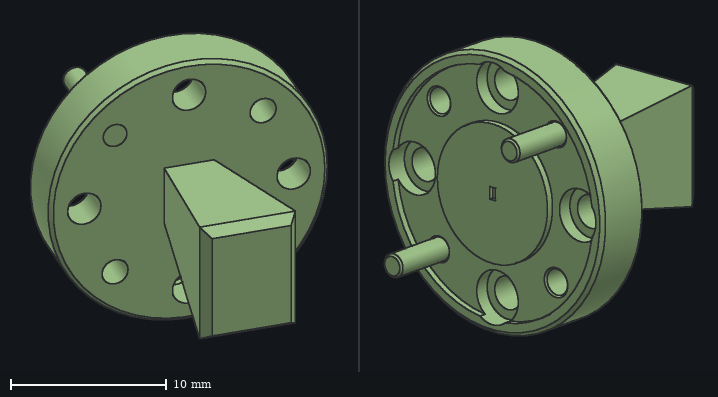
import cadquery as cq
import math

total_length = 20.57
flange_radius = 9.52
flange_thickness = 4.07
flange_chamfer = 0.27

recess_radius = 8.64
boss_radius = 4.75
recess_depth = 0.5

pitch_radius = 7.14
bolt_hole_radius = 1.13
counterbore_radius = 1.79
counterbore_depth = 1.5
bolt_angles = [0, 90, 180, 270]

dowel_hole_radius = 0.88
dowel_chamfer = 0.12
dowel_hole_angles = [45, 225]

pin_radius = 0.8
pin_projection = 4.05
pin_chamfer = 0.15
pin_hole_chamfer = 0.1
pin_angles = [135, 315]

slot_width = 0.47
slot_height = 0.85
slot_depth = 0.3

horn_root_width, horn_root_height = 3.41, 4.03
horn_flare_width, horn_flare_height = 6.55, 8.27
horn_end_width, horn_end_height = 5.39, 7.2
horn_bevel_length = 0.8
horn_length = total_length - pin_projection - flange_thickness
horn_flare_length = horn_length - horn_bevel_length


def pitch_point(angle):
    """Y, Z position on the pitch circle, with the angle measured from +Y toward +Z."""
    a = math.radians(angle)
    return pitch_radius * math.cos(a), pitch_radius * math.sin(a)


def cylinder(radius, start, length, center=(0, 0)):
    """Cylinder along +X, beginning at X = start, centred at the given Y, Z."""
    return cq.Workplane("YZ", origin=(start, 0, 0)).center(*center).circle(radius).extrude(length)


def tapered_block(start, length, start_size, end_size):
    """Four-sided frustum along +X between two centred rectangles."""
    return (
        cq.Workplane("YZ", origin=(start, 0, 0))
        .rect(*start_size)
        .workplane(offset=length)
        .rect(*end_size)
        .loft(ruled=True)
    )


def make_flange_disc():
    disc = cylinder(flange_radius, 0, flange_thickness).edges().chamfer(flange_chamfer)
    recess = cylinder(recess_radius, 0, recess_depth).cut(cylinder(boss_radius, 0, recess_depth))
    slot = cq.Workplane("YZ").rect(slot_width, slot_height).extrude(slot_depth)
    return disc.cut(recess).cut(slot)


def make_bolt_hole(angle):
    center = pitch_point(angle)
    bore = cylinder(bolt_hole_radius, 0, flange_thickness, center)
    return bore.union(cylinder(counterbore_radius, 0, counterbore_depth, center))


def make_chamfered_hole(radius, chamfer, angle):
    """Through hole with a conical mouth on the recess floor."""
    center = pitch_point(angle)
    bore = cylinder(radius, 0, flange_thickness, center)
    mouth = cq.Solid.makeCone(
        radius + chamfer,
        radius,
        chamfer,
        pnt=cq.Vector(recess_depth, *center),
        dir=cq.Vector(1, 0, 0),
    )
    return bore.union(cq.Workplane(mouth))


def make_pin(angle):
    pin = cylinder(pin_radius, -pin_projection, pin_projection + flange_thickness, pitch_point(angle))
    return pin.faces("<X").chamfer(pin_chamfer)


def make_horn():
    flare = tapered_block(
        flange_thickness,
        horn_flare_length,
        (horn_root_width, horn_root_height),
        (horn_flare_width, horn_flare_height),
    )
    bevel = tapered_block(
        flange_thickness + horn_flare_length,
        horn_bevel_length,
        (horn_flare_width, horn_flare_height),
        (horn_end_width, horn_end_height),
    )
    return flare.union(bevel)


def make_housing():
    housing = make_flange_disc().union(make_horn())
    for angle in bolt_angles:
        housing = housing.cut(make_bolt_hole(angle))
    for angle in dowel_hole_angles:
        housing = housing.cut(make_chamfered_hole(dowel_hole_radius, dowel_chamfer, angle))
    for angle in pin_angles:
        housing = housing.cut(make_chamfered_hole(pin_radius, pin_hole_chamfer, angle))
    return housing


housing = make_housing()
pins = [make_pin(angle) for angle in pin_angles]

result = cq.Compound.makeCompound([housing.val(), *[pin.val() for pin in pins]])